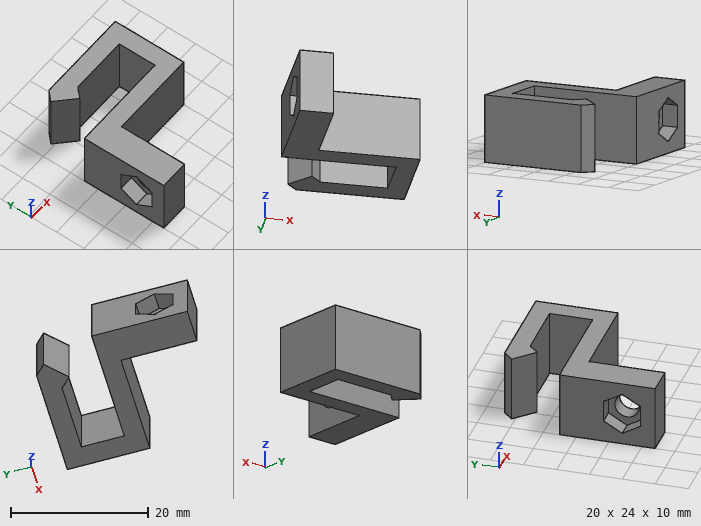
import cadquery as cq

length = 20.0
width = 24.0
height = 10.0

wall = 3.0
leg_thickness = 5.0
leg_length = 11.5
barb_start = 4.0
barb_bevel = wall / 2

screw_diameter = 3.7
nut_corner_diameter = 6.5
nut_depth = 2.5
screw_y = 5.0
screw_z = height / 2


def make_clip():
    """Extrude the leg, web, back wall and barbed arm as one profile."""
    web_top = leg_length + wall
    arm_bottom = width - wall
    back_inside = length - wall
    tip_x = barb_start - barb_bevel
    tip_y = width - barb_bevel
    barb_root_x = barb_start + wall
    outline = [
        (0, 0),
        (leg_thickness, 0),
        (leg_thickness, leg_length),
        (length, leg_length),
        (length, width),
        (barb_start, width),
        (tip_x, tip_y),
        (barb_root_x - barb_bevel, arm_bottom - barb_bevel),
        (barb_root_x, arm_bottom),
        (back_inside, arm_bottom),
        (back_inside, web_top),
        (0, web_top),
    ]
    return cq.Workplane("XY").polyline(outline).close().extrude(height)


def make_screw_hole():
    """Round hole along X through the leg."""
    return (
        cq.Workplane("YZ")
        .center(screw_y, screw_z)
        .circle(screw_diameter / 2)
        .extrude(leg_thickness)
    )


def make_nut_pocket():
    """Hexagonal pocket in the -X face of the leg, with corners pointing along Z."""
    return (
        cq.Workplane("YZ")
        .center(screw_y, screw_z)
        .transformed(rotate=(0, 0, 90))
        .polygon(6, nut_corner_diameter)
        .extrude(nut_depth)
    )


result = make_clip().cut(make_screw_hole()).cut(make_nut_pocket())